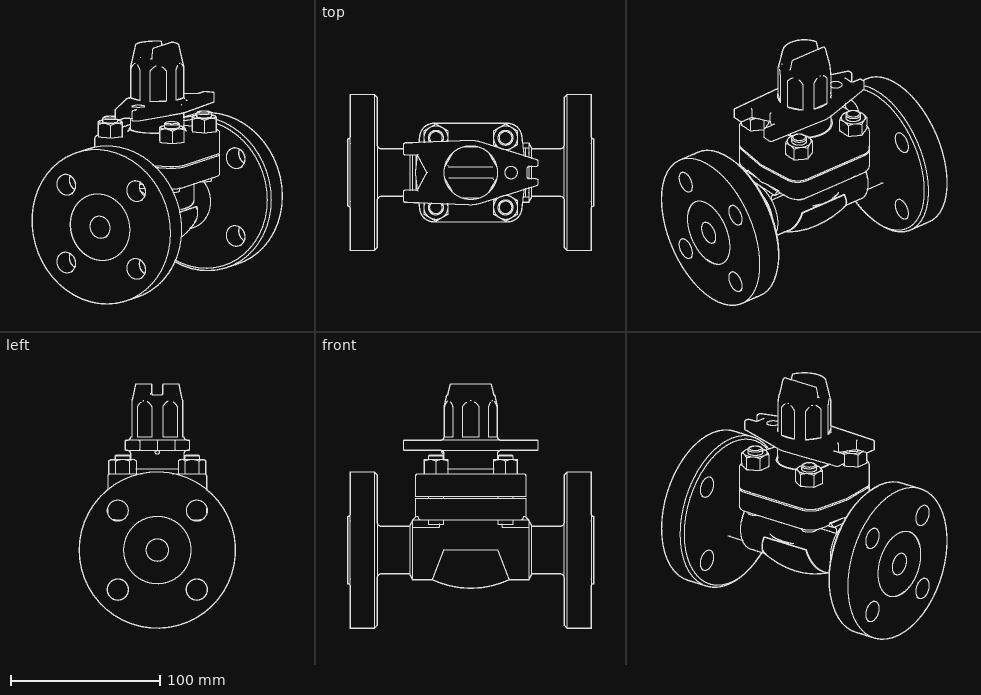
import cadquery as cq
import math

HALF_LENGTH = 82.5
RAISED_FACE_HEIGHT = 1.6
RAISED_FACE_RADIUS = 22.6
FLANGE_RADIUS = 52.5
FLANGE_THICKNESS = 18.2
FLANGE_CHAMFER = 2.0
FLANGE_BOLT_SPACING = 53.0
FLANGE_BOLT_DIAMETER = 14.0
PIPE_RADIUS = 16.0
PIPE_ROOT_FILLET = 2.8
BORE_DIAMETER = 15.0

BODY_HALF_LENGTH = 40.8
BODY_RADIUS = 20.0
BODY_CHAMFER_LENGTH = 1.8
BODY_CHAMFER_DROP = 3.3
BULGE_DEPTH = 25.7
BULGE_SECTION_RADIUS = 20.6
BULGE_SWEEP_RADIUS = 39.6
BULGE_TOP_HALF_WIDTH = 18.2
BULGE_BOTTOM_HALF_WIDTH = 28.0
NECK_RADIUS = 24.8
NECK_BOTTOM = 1.6
NECK_FILLET = 4.0
NECK_BLEND_FILLET = 1.5
WEB_HALF_DEPTH = 13.2
WEB_HALF_WIDTH = 39.0
WEB_SLOPE = 2.3
PLATE_ROOT_FILLET = 3.3

JOINT_HALF_DEPTH = 33.2
JOINT_HALF_WIDTH = 33.3
JOINT_RIDGE_HALF_WIDTH = 37.1
JOINT_CORNER_FILLET = 9.9
JOINT_EDGE_FILLET = 1.6
BODY_PLATE_BOTTOM = 20.3
BODY_PLATE_TOP = 34.6
BONNET_BOTTOM = 35.8
BONNET_TOP = 51.2
GASKET_RADIUS = 24.8

STUD_SPACING = 46.7
STUD_DIAMETER = 10.0
STUD_BOTTOM = 17.2
STUD_TOP = 63.9
STUD_CHAMFER = 0.8
NUT_ACROSS_FLATS = 16.0
NUT_TOP = 60.7
NUT_TURN = 30
NUT_CHAMFER_DROP = 1.0

LEVER_BOTTOM = 66.8
LEVER_TOP = 73.8
LEVER_HALF_LENGTH = 45.2
LEVER_WIDE_END_HALF_WIDTH = 20.0
LEVER_HUB_RADIUS = 21.6
LEVER_HUB_SWEEP = 19
LEVER_TIP_HALF_WIDTH = 8.4
LEVER_EDGE_FILLET = 0.8
LEVER_CORNER_FILLET = 1.5
FORK_MOUTH_HALF_WIDTH = 11.7
FORK_SHOULDER_X = -35.8
FORK_ROOT_X = -29.5
TIP_NOTCH_HALF_WIDTH = 4.1
TIP_NOTCH_ROOT_X = 37.8
LEVER_HOLE_X = 27.0
LEVER_HOLE_DIAMETER = 8.4

STEM_RADIUS = 18.0
STEM_BOSS_RADIUS = 18.8
STEM_BOSS_TOP = 54.3
STEM_ROOT_FILLET = STEM_BOSS_TOP - BONNET_TOP
COLLAR_FILLET = 2.1
INDEX_BALL_RADIUS = 1.5
INDEX_BALL_Z = 65.8
CAP_BOTTOM = LEVER_TOP + COLLAR_FILLET
CAP_CONE_BOTTOM = 96.2
CAP_TOP = 111.5
CAP_TOP_RADIUS = 14.5
CAP_ACROSS_FLATS = 34.2
CAP_SLOT_WIDTH = 7.3
CAP_SLOT_BOTTOM = 104.1
CAP_SLOT_FILLET = 0.8

QUARTER = math.sin(math.radians(45))


def cylinder(radius, bottom, top):
    return cq.Workplane("XY").workplane(offset=bottom).circle(radius).extrude(top - bottom)


def pipe_end():
    """Pipe stub with its flange and raised face on the -X side."""
    face_x = -HALF_LENGTH
    front_x = face_x + RAISED_FACE_HEIGHT
    back_x = front_x + FLANGE_THICKNESS
    root_x = back_x + PIPE_ROOT_FILLET
    face_foot = RAISED_FACE_RADIUS + RAISED_FACE_HEIGHT
    root_top = PIPE_RADIUS + PIPE_ROOT_FILLET
    profile = (
        cq.Workplane("XY")
        .moveTo(face_x, 0)
        .lineTo(face_x, RAISED_FACE_RADIUS)
        .threePointArc(
            (face_x + RAISED_FACE_HEIGHT * QUARTER, face_foot - RAISED_FACE_HEIGHT * QUARTER),
            (front_x, face_foot),
        )
        .lineTo(front_x, FLANGE_RADIUS)
        .lineTo(back_x - FLANGE_CHAMFER, FLANGE_RADIUS)
        .lineTo(back_x, FLANGE_RADIUS - FLANGE_CHAMFER)
        .lineTo(back_x, root_top)
        .threePointArc(
            (root_x - PIPE_ROOT_FILLET * QUARTER, root_top - PIPE_ROOT_FILLET * QUARTER),
            (root_x, PIPE_RADIUS),
        )
        .lineTo(-BODY_HALF_LENGTH + BODY_CHAMFER_LENGTH, PIPE_RADIUS)
        .lineTo(-BODY_HALF_LENGTH + BODY_CHAMFER_LENGTH, 0)
        .close()
    )
    end = profile.revolve(360, (0, 0, 0), (1, 0, 0))
    bolt_holes = (
        cq.Workplane("YZ")
        .workplane(offset=face_x)
        .rect(FLANGE_BOLT_SPACING, FLANGE_BOLT_SPACING, forConstruction=True)
        .vertices()
        .circle(FLANGE_BOLT_DIAMETER / 2)
        .extrude(back_x - face_x)
    )
    bore_depth = HALF_LENGTH - BODY_HALF_LENGTH
    bore = cq.Workplane("YZ").workplane(offset=face_x).circle(BORE_DIAMETER / 2).extrude(bore_depth)
    return end.cut(bolt_holes).cut(bore)


def body_barrel():
    end_radius = BODY_RADIUS - BODY_CHAMFER_DROP
    shoulder_x = BODY_HALF_LENGTH - BODY_CHAMFER_LENGTH
    profile = [
        (-BODY_HALF_LENGTH, 0),
        (-BODY_HALF_LENGTH, end_radius),
        (-shoulder_x, BODY_RADIUS),
        (shoulder_x, BODY_RADIUS),
        (BODY_HALF_LENGTH, end_radius),
        (BODY_HALF_LENGTH, 0),
    ]
    return cq.Workplane("XY").polyline(profile).close().revolve(360, (0, 0, 0), (1, 0, 0))


def body_bulge():
    """Belly below the pipe axis: a round-bottomed section swept on an arc, with sloping ends."""
    centre_z = BULGE_SECTION_RADIUS - BULGE_DEPTH
    axis_z = centre_z + BULGE_SWEEP_RADIUS
    top_z = axis_z / 2
    belly = (
        cq.Workplane("YZ")
        .moveTo(-BULGE_SECTION_RADIUS, top_z)
        .lineTo(-BULGE_SECTION_RADIUS, centre_z)
        .threePointArc((0, -BULGE_DEPTH), (BULGE_SECTION_RADIUS, centre_z))
        .lineTo(BULGE_SECTION_RADIUS, top_z)
        .close()
        .revolve(360, (0, axis_z, 0), (1, axis_z, 0))
    )
    limits = (
        cq.Workplane("XZ")
        .polyline([
            (-BULGE_TOP_HALF_WIDTH, 0),
            (BULGE_TOP_HALF_WIDTH, 0),
            (BULGE_BOTTOM_HALF_WIDTH, -BULGE_DEPTH),
            (-BULGE_BOTTOM_HALF_WIDTH, -BULGE_DEPTH),
        ])
        .close()
        .extrude(BULGE_SECTION_RADIUS, both=True)
    )
    return belly.intersect(limits)


def body_neck():
    """Round neck below the body plate, with a rounded bottom and a flared top."""
    flare_z = BODY_PLATE_BOTTOM - PLATE_ROOT_FILLET
    flare_radius = NECK_RADIUS + PLATE_ROOT_FILLET
    profile = (
        cq.Workplane("XZ")
        .moveTo(0, NECK_BOTTOM)
        .lineTo(NECK_RADIUS - NECK_FILLET, NECK_BOTTOM)
        .threePointArc(
            (
                NECK_RADIUS - NECK_FILLET * (1 - QUARTER),
                NECK_BOTTOM + NECK_FILLET * (1 - QUARTER),
            ),
            (NECK_RADIUS, NECK_BOTTOM + NECK_FILLET),
        )
        .lineTo(NECK_RADIUS, flare_z)
        .threePointArc(
            (
                flare_radius - PLATE_ROOT_FILLET * QUARTER,
                flare_z + PLATE_ROOT_FILLET * QUARTER,
            ),
            (flare_radius, BODY_PLATE_BOTTOM),
        )
        .lineTo(0, BODY_PLATE_BOTTOM)
        .close()
    )
    return profile.revolve(360, (0, 0, 0), (0, 1, 0))


def body_web():
    """Upright web along the barrel, flared under the body plate and sloped at both ends."""
    flare_z = BODY_PLATE_BOTTOM - PLATE_ROOT_FILLET
    flare_depth = WEB_HALF_DEPTH + PLATE_ROOT_FILLET
    arc_depth = flare_depth - PLATE_ROOT_FILLET * QUARTER
    arc_z = flare_z + PLATE_ROOT_FILLET * QUARTER
    web_top = BODY_PLATE_BOTTOM + WEB_SLOPE
    section = (
        cq.Workplane("YZ")
        .moveTo(-WEB_HALF_DEPTH, 0)
        .lineTo(-WEB_HALF_DEPTH, flare_z)
        .threePointArc((-arc_depth, arc_z), (-flare_depth, BODY_PLATE_BOTTOM))
        .lineTo(-flare_depth, web_top)
        .lineTo(flare_depth, web_top)
        .lineTo(flare_depth, BODY_PLATE_BOTTOM)
        .threePointArc((arc_depth, arc_z), (WEB_HALF_DEPTH, flare_z))
        .lineTo(WEB_HALF_DEPTH, 0)
        .close()
        .extrude(WEB_HALF_WIDTH, both=True)
    )
    return section.edges("|Y").edges(">Z").chamfer(WEB_SLOPE)


def body():
    """Barrel with its bulge, neck and web; the neck is blended into the barrel."""
    shell = body_barrel().union(body_bulge()).union(body_neck()).union(body_web())
    neck_zone = cq.selectors.BoxSelector(
        (-NECK_RADIUS, -BODY_RADIUS - 1.6, NECK_BOTTOM / 2),
        (NECK_RADIUS, BODY_RADIUS + 1.6, BODY_PLATE_BOTTOM - PLATE_ROOT_FILLET - NECK_BLEND_FILLET),
    )
    return shell.edges(neck_zone).edges("not #Z").fillet(NECK_BLEND_FILLET)


def joint_plate(bottom, top, rounded_face):
    """Six-sided plate with a slight ridge on each X end and one rounded rim."""
    plate = (
        cq.Workplane("XY")
        .workplane(offset=bottom)
        .polyline([
            (-JOINT_RIDGE_HALF_WIDTH, 0),
            (-JOINT_HALF_WIDTH, -JOINT_HALF_DEPTH),
            (JOINT_HALF_WIDTH, -JOINT_HALF_DEPTH),
            (JOINT_RIDGE_HALF_WIDTH, 0),
            (JOINT_HALF_WIDTH, JOINT_HALF_DEPTH),
            (-JOINT_HALF_WIDTH, JOINT_HALF_DEPTH),
        ])
        .close()
        .extrude(top - bottom)
    )
    plate = plate.edges("|Z").edges(">Y or <Y").fillet(JOINT_CORNER_FILLET)
    return plate.faces(rounded_face).edges().fillet(JOINT_EDGE_FILLET)


def stud_with_nut():
    stud = cylinder(STUD_DIAMETER / 2, STUD_BOTTOM, STUD_TOP).faces(">Z").chamfer(STUD_CHAMFER)
    corner_radius = NUT_ACROSS_FLATS / math.sqrt(3)
    nut = (
        cq.Workplane("XY")
        .workplane(offset=BONNET_TOP)
        .polygon(6, 2 * corner_radius)
        .extrude(NUT_TOP - BONNET_TOP)
        .rotate((0, 0, 0), (0, 0, 1), NUT_TURN)
    )
    corner_width = corner_radius - NUT_ACROSS_FLATS / 2
    rounding = cylinder(corner_radius, BONNET_TOP, NUT_TOP)
    rounding = rounding.faces(">Z").edges().chamfer(NUT_CHAMFER_DROP, corner_width)
    return stud.union(nut.intersect(rounding))


def stem():
    """Spindle housing with a filleted boss and a collar flared against both lever faces."""
    root_radius = STEM_BOSS_RADIUS + STEM_ROOT_FILLET
    collar_radius = STEM_RADIUS + COLLAR_FILLET
    collar_bottom = LEVER_BOTTOM - COLLAR_FILLET
    collar_arc = collar_radius - COLLAR_FILLET * QUARTER
    profile = (
        cq.Workplane("XZ")
        .moveTo(0, BONNET_TOP)
        .lineTo(root_radius, BONNET_TOP)
        .threePointArc(
            (root_radius - STEM_ROOT_FILLET * QUARTER, STEM_BOSS_TOP - STEM_ROOT_FILLET * QUARTER),
            (STEM_BOSS_RADIUS, STEM_BOSS_TOP),
        )
        .lineTo(STEM_RADIUS, STEM_BOSS_TOP)
        .lineTo(STEM_RADIUS, collar_bottom)
        .threePointArc(
            (collar_arc, collar_bottom + COLLAR_FILLET * QUARTER),
            (collar_radius, LEVER_BOTTOM),
        )
        .lineTo(collar_radius, LEVER_TOP)
        .threePointArc(
            (collar_arc, CAP_BOTTOM - COLLAR_FILLET * QUARTER),
            (STEM_RADIUS, CAP_BOTTOM),
        )
        .lineTo(0, CAP_BOTTOM)
        .close()
    )
    index_ball = cq.Workplane("XY").sphere(INDEX_BALL_RADIUS)
    index_ball = index_ball.translate((-STEM_RADIUS, 0, INDEX_BALL_Z))
    return profile.revolve(360, (0, 0, 0), (0, 1, 0)).union(index_ball)


def cap():
    """Round cap with a conical top, six flats and a screwdriver slot along X."""
    turned = (
        cq.Workplane("XZ")
        .polyline([
            (0, CAP_BOTTOM),
            (STEM_RADIUS, CAP_BOTTOM),
            (STEM_RADIUS, CAP_CONE_BOTTOM),
            (CAP_TOP_RADIUS, CAP_TOP),
            (0, CAP_TOP),
        ])
        .close()
        .revolve(360, (0, 0, 0), (0, 1, 0))
    )
    hexagon = (
        cq.Workplane("XY")
        .workplane(offset=CAP_BOTTOM)
        .polygon(6, 2 * CAP_ACROSS_FLATS / math.sqrt(3))
        .extrude(CAP_TOP - CAP_BOTTOM)
    )
    slot = (
        cq.Workplane("XY")
        .workplane(offset=CAP_SLOT_BOTTOM)
        .rect(2 * STEM_RADIUS, CAP_SLOT_WIDTH)
        .extrude(CAP_TOP - CAP_SLOT_BOTTOM)
    )
    slot = slot.edges("|X").edges("<Z").fillet(CAP_SLOT_FILLET)
    slotted = turned.intersect(hexagon).cut(slot)
    slot_mouth = cq.selectors.BoxSelector(
        (-STEM_RADIUS, -CAP_SLOT_WIDTH, CAP_SLOT_BOTTOM + CAP_SLOT_FILLET),
        (STEM_RADIUS, CAP_SLOT_WIDTH, CAP_TOP - CAP_SLOT_FILLET),
    )
    slot_sides = slotted.edges(slot_mouth)
    return slot_sides.add(slotted.faces(">Z").edges()).fillet(CAP_SLOT_FILLET)


def lever():
    """Forked lever plate: V fork at -X, narrow notched tip at +X."""
    hub_sweep = math.radians(LEVER_HUB_SWEEP)
    hub_points = [
        (LEVER_HUB_RADIUS * math.sin(turn), LEVER_HUB_RADIUS * math.cos(turn))
        for turn in (hub_sweep / 2, hub_sweep)
    ]
    upper = [
        (FORK_ROOT_X, 0),
        (FORK_SHOULDER_X, FORK_MOUTH_HALF_WIDTH),
        (-LEVER_HALF_LENGTH, FORK_MOUTH_HALF_WIDTH),
        (-LEVER_HALF_LENGTH, LEVER_WIDE_END_HALF_WIDTH),
    ]
    tip = [
        (LEVER_HALF_LENGTH, LEVER_TIP_HALF_WIDTH),
        (LEVER_HALF_LENGTH, TIP_NOTCH_HALF_WIDTH),
        (TIP_NOTCH_ROOT_X, TIP_NOTCH_HALF_WIDTH),
        (TIP_NOTCH_ROOT_X, 0),
    ]
    half = (
        cq.Workplane("XY")
        .workplane(offset=LEVER_BOTTOM)
        .polyline(upper)
        .lineTo(0, LEVER_HUB_RADIUS)
        .threePointArc(*hub_points)
    )
    for point in tip:
        half = half.lineTo(*point)
    half = half.close().extrude(LEVER_TOP - LEVER_BOTTOM)
    plate = half.union(half.mirror("XZ"))
    fork_ends = cq.selectors.BoxSelector(
        (-LEVER_HALF_LENGTH - 1.6, -LEVER_HUB_RADIUS, LEVER_BOTTOM),
        (FORK_SHOULDER_X - 1.6, LEVER_HUB_RADIUS, LEVER_TOP),
    )
    notched_tip = cq.selectors.BoxSelector(
        (TIP_NOTCH_ROOT_X - 1.6, -LEVER_HUB_RADIUS, LEVER_BOTTOM),
        (LEVER_HALF_LENGTH + 1.6, LEVER_HUB_RADIUS, LEVER_TOP),
    )
    plate = plate.edges("|Z").edges(fork_ends + notched_tip).fillet(LEVER_CORNER_FILLET)
    plate = plate.faces(">Z or <Z").edges().fillet(LEVER_EDGE_FILLET)
    hole = cylinder(LEVER_HOLE_DIAMETER / 2, LEVER_BOTTOM, LEVER_TOP)
    return plate.cut(hole.translate((LEVER_HOLE_X, 0, 0)))


inlet = pipe_end()
result = body().union(inlet).union(inlet.mirror("YZ"))
result = result.union(joint_plate(BODY_PLATE_BOTTOM, BODY_PLATE_TOP, "<Z"))
result = result.union(cylinder(GASKET_RADIUS, BODY_PLATE_TOP, BONNET_BOTTOM))
result = result.union(joint_plate(BONNET_BOTTOM, BONNET_TOP, ">Z"))
for side_x in (-1, 1):
    for side_y in (-1, 1):
        stud_place = (side_x * STUD_SPACING / 2, side_y * STUD_SPACING / 2, 0)
        result = result.union(stud_with_nut().translate(stud_place))
result = result.union(stem()).union(lever()).union(cap())